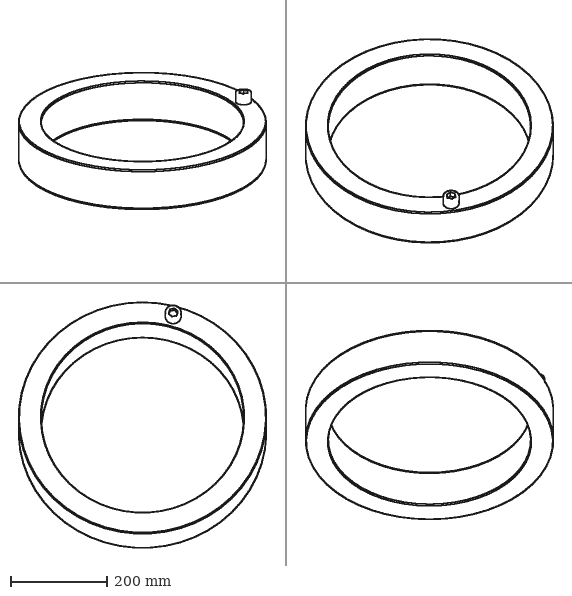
import cadquery as cq
import math

ring_outer_diameter = 515.0
ring_bore_diameter = 420.0
overall_height = 112.0
ring_height = 89.5
ring_chamfer_width = 1.5
ring_chamfer_height = 3.5

head_diameter = 33.0
head_height = overall_height - ring_height
head_edge_radius = 2.0
head_center_y = 234.0

socket_across_flats = 17.0
socket_across_corners = socket_across_flats / math.cos(math.pi / 6)
socket_depth = 11.0
socket_cone_depth = 5.0
socket_corner_angle = 90.0


def make_ring():
    """Rectangular ring profile, with chamfered corners, revolved about the Z axis."""
    width = (ring_outer_diameter - ring_bore_diameter) / 2
    middle_radius = (ring_outer_diameter + ring_bore_diameter) / 4
    half_width = width / 2
    flat_half_width = half_width - ring_chamfer_width
    wall_bottom = ring_chamfer_height
    wall_top = ring_height - ring_chamfer_height
    return (
        cq.Workplane("XZ")
        .moveTo(middle_radius - flat_half_width, 0)
        .lineTo(middle_radius + flat_half_width, 0)
        .lineTo(middle_radius + half_width, wall_bottom)
        .lineTo(middle_radius + half_width, wall_top)
        .lineTo(middle_radius + flat_half_width, ring_height)
        .lineTo(middle_radius - flat_half_width, ring_height)
        .lineTo(middle_radius - half_width, wall_top)
        .lineTo(middle_radius - half_width, wall_bottom)
        .close()
        .revolve(360, (0, 0, 0), (0, 1, 0))
    )


def make_hex_socket():
    """Cutting shape of the socket: a hexagonal prism, two corners along Y, with a conical tip."""
    cone_top = head_height - socket_depth
    tip = cone_top - socket_cone_depth
    corner_radius = socket_across_corners / 2
    prism = (
        cq.Workplane("XY")
        .workplane(offset=tip)
        .transformed(rotate=(0, 0, socket_corner_angle))
        .polygon(6, socket_across_corners)
        .extrude(head_height - tip)
    )
    pointed_cylinder = (
        cq.Workplane("XZ")
        .moveTo(0, tip)
        .lineTo(corner_radius, cone_top)
        .lineTo(corner_radius, head_height)
        .lineTo(0, head_height)
        .close()
        .revolve(360, (0, 0, 0), (0, 1, 0))
    )
    return prism.intersect(pointed_cylinder)


def make_screw_head():
    """Cylindrical head with a rounded top edge and a hexagon socket."""
    head = (
        cq.Workplane("XY")
        .circle(head_diameter / 2)
        .extrude(head_height)
        .faces(">Z")
        .edges()
        .fillet(head_edge_radius)
        .cut(make_hex_socket())
    )
    return head.translate((0, head_center_y, ring_height))


ring = make_ring()
screw_head = make_screw_head()

result = cq.Compound.makeCompound([ring.val(), screw_head.val()])